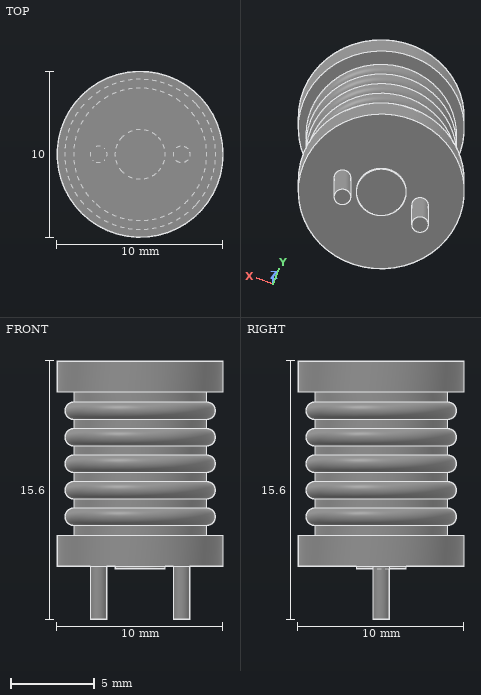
import cadquery as cq

flange_diameter = 10.0
core_diameter = 8.0
standoff_diameter = 3.0
standoff_height = 0.15
total_height = 15.55
pin_length_below_seat = 3.05
flange_thickness = 1.87

turn_count = 5
turn_pitch = 1.595
wire_diameter = 1.065

pin_diameter = 1.0
pin_spacing = 5.0

body_bottom = standoff_height
body_top = total_height - pin_length_below_seat
body_middle = (body_bottom + body_top) / 2


def cylinder(diameter, bottom, top, x=0.0):
    """Vertical cylinder between two heights."""
    disc = cq.Workplane("XY", origin=(x, 0, bottom)).circle(diameter / 2)
    return disc.extrude(top - bottom)


def make_drum():
    """Core with a flange at each end and the standoff underneath."""
    drum = cylinder(core_diameter, body_bottom, body_top)
    drum = drum.union(cylinder(flange_diameter, body_bottom, body_bottom + flange_thickness))
    drum = drum.union(cylinder(flange_diameter, body_top - flange_thickness, body_top))
    return drum.union(cylinder(standoff_diameter, 0, body_bottom))


def make_turn(height):
    """Exposed outer half of one wire ring, backed by a disc inside the core."""
    core_radius = core_diameter / 2
    wire_radius = wire_diameter / 2
    bottom = height - wire_radius
    top = height + wire_radius
    section = (
        cq.Workplane("XZ")
        .moveTo(0, bottom)
        .lineTo(core_radius, bottom)
        .threePointArc((core_radius + wire_radius, height), (core_radius, top))
        .lineTo(0, top)
        .close()
    )
    return section.revolve(360, (0, 0), (0, 1))


def make_pin(x):
    """Lead running down from the underside of the lower flange."""
    return cylinder(pin_diameter, -pin_length_below_seat, body_bottom, x)


result = make_drum()

for turn in range(turn_count):
    offset = (turn - (turn_count - 1) / 2) * turn_pitch
    result = result.union(make_turn(body_middle + offset))

for side in (-1, 1):
    result = result.union(make_pin(side * pin_spacing / 2))